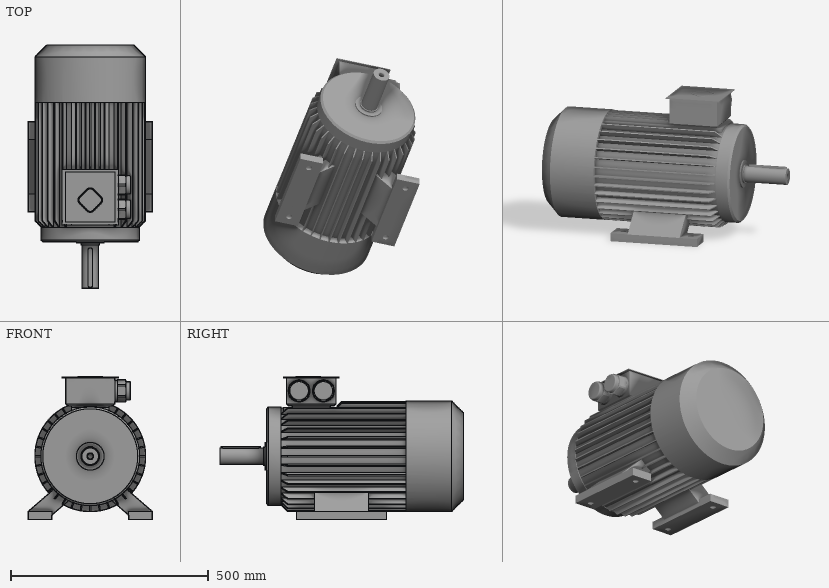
import cadquery as cq
import math


body_diameter = 245
shield_diameter = 250
shield_front_y = 7.5
shield_rear_y = 43.5
shield_chamfer = 5
cover_diameter = 280
cover_front_y = 360
cover_rear_y = 505
cover_chamfer = 30

shaft_diameter = 42
shaft_length = 110
shoulder_diameter = 47
boss_diameter = 70
boss_front_y = 4
key_width = 12
key_top_z = 24
key_start_y = -7.5
key_length = 100
centre_hole_diameter = 13.84
countersink_diameter = 17
centre_hole_depth = 36
drill_point_angle = 120

fin_thickness = 3
fin_root_overlap = 3
fin_step_angle = 10
fin_front_y = 45.5
fin_bevel = 15.5
fin_first_angle = -240
fin_last_angle = 60

pad_width = 95
pad_top_z = 123.5
pad_front_y = 50
pad_fin_count = 7
pad_fin_pitch = 12
pad_fin_tip_radius = 138
pad_fin_front_y = 186
pad_fin_bevel = 10.5

box_centre_y = 120.5
box_width = 124
box_length = 126
box_bottom_z = 127.5
box_chamfer = 5
plinth_length = 97
lid_width = 142
lid_length = 140
lid_top_z = 200
lid_thickness = 2
badge_centre_y = 113
badge_side = 51
badge_corner_radius = 12
badge_rim = 2.5
badge_height = 1

gland_spacing = 61.5
gland_z = 165
collar_diameter = 55
collar_length = 7
nut_across_flats = 51
nut_diameter = 56.5
nut_length = 21
nut_chamfer = 1.5
nozzle_diameter = 47
nozzle_length = 11.5
nozzle_fillet = 3

shaft_height = 160
foot_hole_span_x = 254
foot_hole_span_y = 178
foot_hole_first_y = 108
foot_hole_diameter = 15
foot_width = 60
foot_length = 228
foot_thickness = 20.5
leg_length = 137
leg_angle = 41
leg_lower_z = -149

fin_root_z = body_diameter / 2 - fin_root_overlap
cover_radius = cover_diameter / 2
foot_centre_y = foot_hole_first_y + foot_hole_span_y / 2


def block(x_size, y_size, z_bottom, z_top, x=0, y=0):
    """Upright block centred on (x, y)."""
    size_z = z_top - z_bottom
    return cq.Workplane("XY").box(x_size, y_size, size_z).translate((x, y, z_bottom + size_z / 2))


def cylinder_y(diameter, y_start, y_end):
    """Cylinder on the shaft axis."""
    plane = cq.Workplane("XZ", origin=(0, y_start, 0))
    return plane.circle(diameter / 2).extrude(y_start - y_end)


def make_housing():
    shield = cylinder_y(shield_diameter, shield_front_y, shield_rear_y)
    shield = shield.faces("<Y").chamfer(shield_chamfer)
    cover = cylinder_y(cover_diameter, cover_front_y, cover_rear_y)
    cover = cover.faces(">Y").chamfer(cover_chamfer)
    body = cylinder_y(body_diameter, shield_rear_y, cover_front_y)
    boss = cylinder_y(boss_diameter, boss_front_y, shield_front_y)
    return body.union(shield).union(cover).union(boss)


def bevelled_fin(front_y, bottom_z, top_z, bevel):
    """Upright fin along Y, bevelled at its front top corner and ending at the fan cover."""
    outline = [
        (front_y, bottom_z),
        (front_y, top_z - bevel),
        (front_y + bevel, top_z),
        (cover_front_y, top_z),
        (cover_front_y, bottom_z),
    ]
    return cq.Workplane("YZ").polyline(outline).close().extrude(fin_thickness / 2, both=True)


def add_radial_fins(motor):
    fin = bevelled_fin(fin_front_y, fin_root_z, cover_radius, fin_bevel)
    for angle in range(fin_first_angle, fin_last_angle + 1, fin_step_angle):
        motor = motor.union(fin.rotate((0, 0, 0), (0, 1, 0), 90 - angle))
    return motor


def add_top_pad(motor):
    pad_length = cover_front_y - pad_front_y
    pad_centre_y = pad_front_y + pad_length / 2
    motor = motor.union(block(pad_width, pad_length, 0, pad_top_z, y=pad_centre_y))
    for index in range(pad_fin_count):
        x = (index - (pad_fin_count - 1) / 2) * pad_fin_pitch
        top_z = math.sqrt(pad_fin_tip_radius**2 - x**2)
        fin = bevelled_fin(pad_fin_front_y, fin_root_z, top_z, pad_fin_bevel)
        motor = motor.union(fin.translate((x, 0, 0)))
    return motor


def make_badge():
    """Raised rounded rim on the lid, turned by 45 degrees."""
    plate = block(badge_side, badge_side, lid_top_z, lid_top_z + badge_height)
    plate = plate.edges("|Z").fillet(badge_corner_radius)
    opening_side = badge_side - 2 * badge_rim
    opening = block(opening_side, opening_side, lid_top_z, lid_top_z + badge_height)
    opening = opening.edges("|Z").fillet(badge_corner_radius - badge_rim)
    rim = plate.cut(opening)
    return rim.rotate((0, 0, 0), (0, 0, 1), 45).translate((0, badge_centre_y, 0))


def make_gland(y):
    x_nut = box_width / 2 + collar_length
    x_nozzle = x_nut + nut_length
    collar = cq.Workplane("YZ", origin=(box_width / 2, y, gland_z))
    collar = collar.circle(collar_diameter / 2).extrude(collar_length)
    corner_diameter = nut_across_flats / math.cos(math.pi / 6)
    hexagon = cq.Workplane("YZ", origin=(x_nut, y, gland_z)).transformed(rotate=(0, 0, 90))
    hexagon = hexagon.polygon(6, corner_diameter).extrude(nut_length)
    turned = cq.Workplane("YZ", origin=(x_nut, y, gland_z)).circle(nut_diameter / 2).extrude(nut_length)
    nut = hexagon.intersect(turned.faces(">X").chamfer(nut_chamfer))
    nozzle = cq.Workplane("YZ", origin=(x_nozzle, y, gland_z))
    nozzle = nozzle.circle(nozzle_diameter / 2).extrude(nozzle_length)
    nozzle = nozzle.faces(">X").edges().fillet(nozzle_fillet)
    return collar.union(nut).union(nozzle)


def add_terminal_box(motor):
    lid_bottom_z = lid_top_z - lid_thickness
    plinth = block(pad_width, plinth_length, 0, box_bottom_z, y=box_centre_y)
    box = block(box_width, box_length, box_bottom_z, lid_bottom_z, y=box_centre_y)
    box = box.faces("<Z").chamfer(box_chamfer)
    lid = block(lid_width, lid_length, lid_bottom_z, lid_top_z, y=box_centre_y)
    motor = motor.union(plinth).union(box).union(lid).union(make_badge())
    for side in (-1, 1):
        motor = motor.union(make_gland(box_centre_y + side * gland_spacing / 2))
    return motor


def make_foot():
    """Foot on the +X side: a drilled plate and a slanted leg into the housing."""
    centre_x = foot_hole_span_x / 2
    outer_x = centre_x + foot_width / 2
    inner_x = centre_x - foot_width / 2
    plate_top_z = foot_thickness - shaft_height
    plate = block(foot_width, foot_length, -shaft_height, plate_top_z, centre_x, foot_centre_y)
    rise = math.tan(math.radians(leg_angle))
    root_x = inner_x / 2
    outline = [
        (outer_x, plate_top_z),
        (root_x, plate_top_z + (outer_x - root_x) * rise),
        (root_x, leg_lower_z + (inner_x - root_x) * rise),
        (inner_x, leg_lower_z),
        (inner_x, -shaft_height),
        (outer_x, -shaft_height),
    ]
    leg = cq.Workplane("XZ", origin=(0, foot_centre_y, 0)).polyline(outline).close()
    foot = plate.union(leg.extrude(leg_length / 2, both=True))
    for side in (-1, 1):
        hole_y = foot_centre_y + side * foot_hole_span_y / 2
        hole = cq.Workplane("XY", origin=(centre_x, hole_y, -shaft_height))
        foot = foot.cut(hole.circle(foot_hole_diameter / 2).extrude(foot_thickness))
    return foot


def make_shaft():
    shaft = cylinder_y(shaft_diameter, -shaft_length, shield_front_y)
    shaft = shaft.union(cylinder_y(shoulder_diameter, 0, shield_front_y))
    key_centre_y = key_start_y - key_length / 2
    key = cq.Workplane("XY", origin=(0, key_centre_y, 0)).slot2D(key_length, key_width, 90)
    shaft = shaft.union(key.extrude(key_top_z))
    return shaft.cut(make_centre_hole())


def make_centre_hole():
    """Cutter for the countersunk hole with a drill point in the shaft end."""
    hole_radius = centre_hole_diameter / 2
    countersink_radius = countersink_diameter / 2
    countersink_y = countersink_radius - hole_radius - shaft_length
    bottom_y = centre_hole_depth - shaft_length
    point_length = hole_radius / math.tan(math.radians(drill_point_angle / 2))
    outline = [
        (0, -shaft_length),
        (countersink_radius, -shaft_length),
        (hole_radius, countersink_y),
        (hole_radius, bottom_y),
        (0, bottom_y + point_length),
    ]
    return cq.Workplane("XY").polyline(outline).close().revolve(360, (0, 0, 0), (0, 1, 0))


motor = add_radial_fins(make_housing())
motor = add_top_pad(motor)
motor = add_terminal_box(motor)
foot = make_foot()
motor = motor.union(foot).union(foot.mirror("YZ"))
result = motor.union(make_shaft())